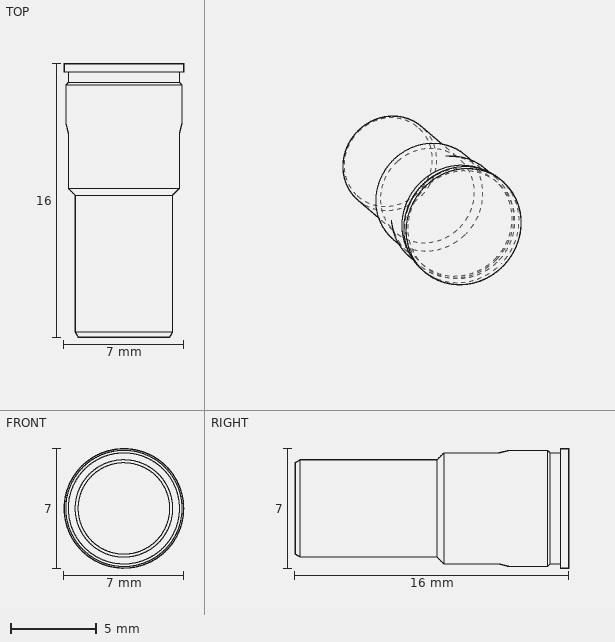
import cadquery as cq

flange_diameter = 7.0
body_diameter = 6.5
band_diameter = 6.8
shank_diameter = 5.7
tip_diameter = 5.35

flange_thickness = 0.5
band_start = 1.1
band_end = 3.5
band_taper_end = 4.1
body_end = 7.3
overall_length = 16.0

band_chamfer = (band_diameter - body_diameter) / 2
body_chamfer = (body_diameter - shank_diameter) / 2
tip_chamfer_length = 0.3

profile_corners = [
    (0, 0),
    (flange_diameter, 0),
    (flange_diameter, flange_thickness),
    (body_diameter, flange_thickness),
    (body_diameter, band_start),
    (band_diameter, band_start + band_chamfer),
    (band_diameter, band_end),
    (body_diameter, band_taper_end),
    (body_diameter, body_end),
    (shank_diameter, body_end + body_chamfer),
    (shank_diameter, overall_length - tip_chamfer_length),
    (tip_diameter, overall_length),
    (0, overall_length),
]


def turned_body(corners):
    """Revolve the half profile about the Y axis, with the flange face at Y = 0."""
    outline = [(diameter / 2, -distance) for diameter, distance in corners]
    return cq.Workplane("XY").polyline(outline).close().revolve(360, (0, 0, 0), (0, 1, 0))


result = turned_body(profile_corners)